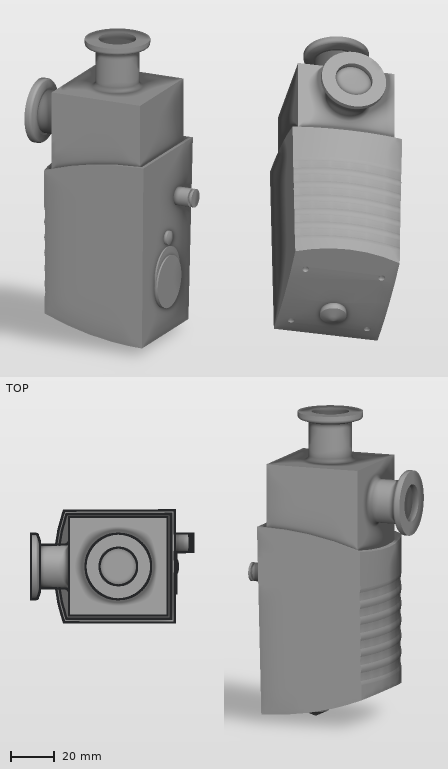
import cadquery as cq
import math


BLOCK_SIDE = 45.0
BLOCK_TOP = 17.5
BLOCK_BOTTOM = BLOCK_TOP - BLOCK_SIDE

PORT_REACH = 40.0
TUBE_RADIUS = 10.0
TUBE_FILLET = 2.0
FLANGE_RADIUS = 15.0
FLANGE_RIM = 2.0
FLANGE_THICKNESS = 4.3
FLANGE_BACK_RADIUS = 11.0
FLANGE_CONE_RADIUS = 14.3
FLANGE_CONE_DEPTH = 3.2
FLANGE_BULGE_RADIUS = 14.8
FLANGE_BULGE_DEPTH = 2.7
BORE_RADIUS = 8.6
BORE_DEPTH = 3.0

HOUSING_TOP = -11.2
HOUSING_BOTTOM = -98.4
HOUSING_HALF_WIDTH = 25.7
HOUSING_BACK = 25.8
HOUSING_FRONT = -29.2
HOUSING_DRAFT = 1.0
FRONT_RADIUS = 77.0
CROWN_RADIUS = 158.0
KEEL_RADIUS = 137.0
WALL = 1.6

GRIP_TOP = -36.8
GRIP_EDGE = 1.8
GRIP_EDGE_SAG = 0.1
WAVE_LENGTH = 3.73
RIB_COUNT = 5
GRIP_DEPTH = 0.35
GROOVE_SAG = 0.1

FOOT_X = 7.3
FOOT_RADIUS = 6.1
FOOT_SHOULDER = -99.2
FOOT_TIP = -102.0

HOLE_X = 16.5
HOLE_Y = 17.7
HOLE_DIAMETER = 3.0
HOLE_DEPTH = 3.0

CONNECTOR_Y = 10.8
CONNECTOR_Z = -35.0
CONNECTOR_RADIUS = 4.3
CONNECTOR_NECK_RADIUS = 3.0
CONNECTOR_NECK_START = 32.4
CONNECTOR_NECK_END = 33.4
CONNECTOR_END = 34.4

BUTTON_Z = -52.0
BUTTON_RADIUS = 3.3
BUTTON_SHOULDER = 26.5
BUTTON_END = 27.3

KNOB_Z = -73.0
KNOB_RADIUS = 12.3
KNOB_FACE = 26.5
PLATE_FACE = 25.7
PLATE_OFFSET = 4.2

ROOT_X = 20.0
BLOCK_SINK = 2.0
MARGIN = 10.0


def back_at(z):
    """X of the drafted back face at height z."""
    return HOUSING_BACK - (HOUSING_TOP - z) * math.tan(math.radians(HOUSING_DRAFT))


def arc_drop(x, radius):
    """Distance an arc along X has fallen away from its level point at the back."""
    run = HOUSING_BACK - x
    return radius - math.sqrt(radius**2 - run**2)


def top_at(x):
    """Height of the crowned top rim at x."""
    return HOUSING_TOP - arc_drop(x, CROWN_RADIUS)


def bottom_at(x):
    """Height of the curved underside at x."""
    return HOUSING_BOTTOM + arc_drop(x, KEEL_RADIUS)


def housing_body(inset):
    """Housing outline with its front, back and side walls moved inward by inset."""
    front = HOUSING_FRONT + inset
    middle = (front + HOUSING_BACK) / 2
    bottom_back = back_at(HOUSING_BOTTOM) - inset
    top_back = HOUSING_BACK - inset
    side_profile = (
        cq.Workplane("XZ")
        .moveTo(front, top_at(front))
        .threePointArc((middle, top_at(middle)), (top_back, top_at(top_back)))
        .lineTo(bottom_back, bottom_at(bottom_back))
        .threePointArc((middle, bottom_at(middle)), (front, bottom_at(front)))
        .close()
        .extrude(HOUSING_HALF_WIDTH + MARGIN, both=True)
    )

    top_half = HOUSING_HALF_WIDTH - inset
    bottom_half = top_half - (HOUSING_BACK - back_at(HOUSING_BOTTOM))
    drafted_sides = (
        cq.Workplane("YZ")
        .polyline([
            (-top_half, HOUSING_TOP),
            (top_half, HOUSING_TOP),
            (bottom_half, HOUSING_BOTTOM),
            (-bottom_half, HOUSING_BOTTOM),
        ])
        .close()
        .extrude(2 * FRONT_RADIUS, both=True)
    )

    curved_front = (
        cq.Workplane("XY", origin=(HOUSING_FRONT + FRONT_RADIUS, 0, HOUSING_BOTTOM))
        .circle(FRONT_RADIUS - inset)
        .extrude(HOUSING_TOP - HOUSING_BOTTOM)
    )
    return side_profile.intersect(drafted_sides).intersect(curved_front)


def housing_cavity():
    """Open recess around the block, from the rim down to the underside of the block."""
    span = 4 * HOUSING_HALF_WIDTH
    above_floor = (
        cq.Workplane("XY", origin=(0, 0, BLOCK_BOTTOM))
        .rect(span, span)
        .extrude(HOUSING_TOP - BLOCK_BOTTOM)
    )
    return housing_body(WALL).intersect(above_floor)


def grip_cutter():
    """Ring that carves alternating grooves and ribs into the curved front."""
    base = HOUSING_FRONT + GRIP_DEPTH
    outside = HOUSING_FRONT - MARGIN
    edge_middle = HOUSING_FRONT + GRIP_EDGE_SAG
    z = GRIP_TOP
    profile = (
        cq.Workplane("XZ")
        .moveTo(outside, z)
        .lineTo(HOUSING_FRONT, z)
        .threePointArc((edge_middle, z - GRIP_EDGE / 2), (base, z - GRIP_EDGE))
    )
    z -= GRIP_EDGE
    for wave in range(2 * RIB_COUNT + 1):
        is_groove = wave % 2 == 0
        crest = base + GROOVE_SAG if is_groove else HOUSING_FRONT
        profile = profile.threePointArc((crest, z - WAVE_LENGTH / 2), (base, z - WAVE_LENGTH))
        z -= WAVE_LENGTH
    axis_x = HOUSING_FRONT + FRONT_RADIUS
    return (
        profile
        .threePointArc((edge_middle, z - GRIP_EDGE / 2), (HOUSING_FRONT, z - GRIP_EDGE))
        .lineTo(outside, z - GRIP_EDGE)
        .close()
        .revolve(360, (axis_x, 0, 0), (axis_x, 1, 0))
    )


def upright_port(root):
    """Flanged tube along +Z with a blind bore; root is the height of the block face."""
    flange_back = PORT_REACH - FLANGE_THICKNESS
    fillet_reach = TUBE_FILLET * (1 - math.sqrt(0.5))
    return (
        cq.Workplane("XZ")
        .moveTo(0, 0)
        .lineTo(TUBE_RADIUS + TUBE_FILLET, 0)
        .lineTo(TUBE_RADIUS + TUBE_FILLET, root)
        .threePointArc(
            (TUBE_RADIUS + fillet_reach, root + fillet_reach),
            (TUBE_RADIUS, root + TUBE_FILLET),
        )
        .lineTo(TUBE_RADIUS, flange_back)
        .lineTo(FLANGE_BACK_RADIUS, flange_back)
        .lineTo(FLANGE_CONE_RADIUS, PORT_REACH - FLANGE_CONE_DEPTH)
        .threePointArc(
            (FLANGE_BULGE_RADIUS, PORT_REACH - FLANGE_BULGE_DEPTH),
            (FLANGE_RADIUS, PORT_REACH - FLANGE_RIM),
        )
        .lineTo(FLANGE_RADIUS, PORT_REACH)
        .lineTo(BORE_RADIUS, PORT_REACH)
        .lineTo(BORE_RADIUS, PORT_REACH - BORE_DEPTH)
        .lineTo(0, PORT_REACH - BORE_DEPTH)
        .close()
        .revolve()
    )


def back_cylinder(y, z, radius, end):
    """Cylinder along X from inside the housing to the given end."""
    return cq.Workplane("YZ", origin=(ROOT_X, y, z)).circle(radius).extrude(end - ROOT_X)


def connector():
    """Round cable connector with a narrow neck near its end."""
    body = back_cylinder(CONNECTOR_Y, CONNECTOR_Z, CONNECTOR_RADIUS, CONNECTOR_NECK_START)
    neck = back_cylinder(CONNECTOR_Y, CONNECTOR_Z, CONNECTOR_NECK_RADIUS, CONNECTOR_END)
    cap = (
        cq.Workplane("YZ", origin=(CONNECTOR_NECK_END, CONNECTOR_Y, CONNECTOR_Z))
        .circle(CONNECTOR_RADIUS)
        .extrude(CONNECTOR_END - CONNECTOR_NECK_END)
    )
    return body.union(neck).union(cap)


def button():
    """Short cylinder capped with a shallow dome, centred on the back."""
    rise = BUTTON_END - BUTTON_SHOULDER
    dome_radius = (BUTTON_RADIUS**2 + rise**2) / (2 * rise)
    half_radius = BUTTON_RADIUS / 2
    half_x = BUTTON_END - dome_radius + math.sqrt(dome_radius**2 - half_radius**2)
    return (
        cq.Workplane("XY", origin=(0, 0, BUTTON_Z))
        .moveTo(ROOT_X, 0)
        .lineTo(ROOT_X, BUTTON_RADIUS)
        .lineTo(BUTTON_SHOULDER, BUTTON_RADIUS)
        .threePointArc((half_x, half_radius), (BUTTON_END, 0))
        .close()
        .revolve(360, (0, 0, 0), (1, 0, 0))
    )


def knob():
    """Round knob on a thin backing plate with round ends that reaches above it."""
    disc = back_cylinder(0, KNOB_Z, KNOB_RADIUS, KNOB_FACE)
    plate = (
        cq.Workplane("YZ", origin=(ROOT_X, 0, KNOB_Z + PLATE_OFFSET / 2))
        .slot2D(2 * KNOB_RADIUS + PLATE_OFFSET, 2 * KNOB_RADIUS, 90)
        .extrude(PLATE_FACE - ROOT_X)
    )
    return disc.union(plate)


def foot():
    """Cylinder with a conical tip below the housing."""
    return (
        cq.Workplane("XZ", origin=(FOOT_X, 0, 0))
        .polyline([
            (0, FOOT_SHOULDER + MARGIN),
            (FOOT_RADIUS, FOOT_SHOULDER + MARGIN),
            (FOOT_RADIUS, FOOT_SHOULDER),
            (0, FOOT_TIP),
        ])
        .close()
        .revolve(360, (0, 0, 0), (0, 1, 0))
    )


def underside_hole(x, y):
    """Vertical blind hole in the curved underside, ready to be cut."""
    mouth = bottom_at(x)
    return (
        cq.Workplane("XY", origin=(x, y, mouth - MARGIN))
        .circle(HOLE_DIAMETER / 2)
        .extrude(MARGIN + HOLE_DEPTH)
    )


housing = housing_body(0).cut(housing_cavity()).cut(grip_cutter())
for hole_x in (-HOLE_X, HOLE_X):
    for hole_y in (-HOLE_Y, HOLE_Y):
        housing = housing.cut(underside_hole(hole_x, hole_y))

block = (
    cq.Workplane("XY", origin=(0, 0, BLOCK_BOTTOM - BLOCK_SINK))
    .rect(BLOCK_SIDE, BLOCK_SIDE)
    .extrude(BLOCK_SIDE + BLOCK_SINK)
)
top_port = upright_port(BLOCK_TOP)
side_port = upright_port(BLOCK_SIDE / 2).rotate((0, 0, 0), (0, 1, 0), -90)

result = housing
for piece in (block, top_port, side_port, connector(), button(), knob(), foot()):
    result = result.union(piece)